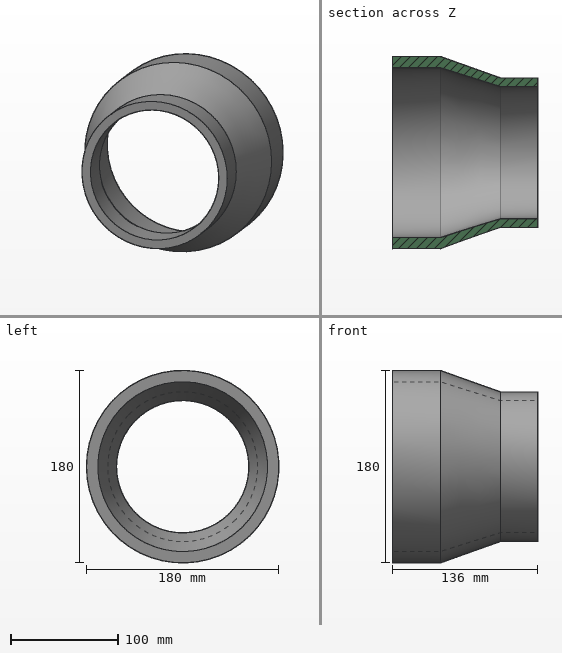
import cadquery as cq

large_diameter = 180.0
large_wall = 10.7
large_length = 45.0

small_diameter = 140.0
small_wall = 8.3
small_length = 35.0

total_length = 136.0

large_radius = large_diameter / 2
small_radius = small_diameter / 2
cone_start = large_length
cone_end = total_length - small_length


def stepped_cone(start_radius, end_radius):
    """Solid of revolution about X: a cylinder, a cone and a smaller cylinder."""
    profile = (
        cq.Workplane("XY")
        .moveTo(0, 0)
        .lineTo(0, start_radius)
        .lineTo(cone_start, start_radius)
        .lineTo(cone_end, end_radius)
        .lineTo(total_length, end_radius)
        .lineTo(total_length, 0)
        .close()
    )
    return profile.revolve(360, (0, 0, 0), (1, 0, 0))


outer_body = stepped_cone(large_radius, small_radius)
bore = stepped_cone(large_radius - large_wall, small_radius - small_wall)

result = outer_body.cut(bore)